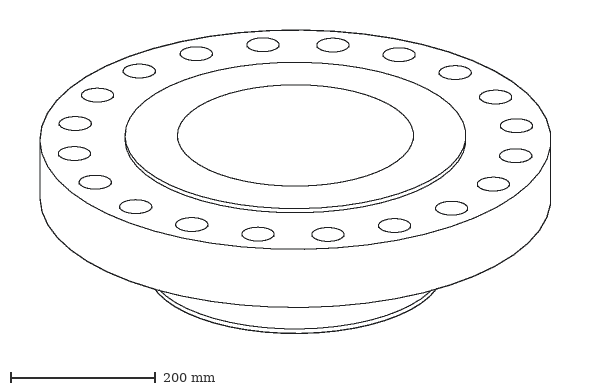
import cadquery as cq

flange_diameter = 705.0
flange_thickness = 89.0
raised_face_diameter = 470.0
raised_face_height = 6.0
overall_height = 222.0

hub_base_diameter = 507.5
hub_fillet_radius = 14.0
neck_diameter = 407.0
neck_length = 7.0
bore_diameter = 325.5
weld_land = 2.0
bevel_break_diameter = 359.5
shallow_bevel_height = 3.5
steep_bevel_height = 13.0

bolt_count = 20
bolt_circle_diameter = 616.0
bolt_hole_diameter = 44.5

flange_radius = flange_diameter / 2
raised_face_radius = raised_face_diameter / 2
hub_base_radius = hub_base_diameter / 2
neck_radius = neck_diameter / 2
bore_radius = bore_diameter / 2
bevel_break_radius = bevel_break_diameter / 2
flange_top = overall_height - raised_face_height
flange_bottom = flange_top - flange_thickness
neck_bottom = steep_bevel_height + shallow_bevel_height
neck_top = neck_bottom + neck_length


def make_body():
    """Revolve the half section about Z and round the hub into the flange."""
    section = (
        cq.Workplane("XZ")
        .moveTo(bore_radius, 0)
        .lineTo(bore_radius + weld_land, 0)
        .lineTo(bevel_break_radius, steep_bevel_height)
        .lineTo(neck_radius, neck_bottom)
        .lineTo(neck_radius, neck_top)
        .lineTo(hub_base_radius, flange_bottom)
        .lineTo(flange_radius, flange_bottom)
        .lineTo(flange_radius, flange_top)
        .lineTo(raised_face_radius, flange_top)
        .lineTo(raised_face_radius, overall_height)
        .lineTo(bore_radius, overall_height)
        .close()
    )
    body = section.revolve(360, (0, 0, 0), (0, 1, 0))
    selection_margin = 0.1
    hub_corner = cq.selectors.BoxSelector(
        (-flange_radius, -flange_radius, flange_bottom - selection_margin),
        (hub_base_radius + selection_margin, flange_radius, flange_bottom + selection_margin),
        boundingbox=True,
    )
    return body.edges(hub_corner).fillet(hub_fillet_radius)


def make_bolt_holes():
    """Cylinders on the bolt circle, the first one on +X."""
    return (
        cq.Workplane("XY")
        .workplane(offset=flange_bottom)
        .polarArray(bolt_circle_diameter / 2, 0, 360, bolt_count)
        .circle(bolt_hole_diameter / 2)
        .extrude(flange_thickness)
    )


result = make_body().cut(make_bolt_holes())